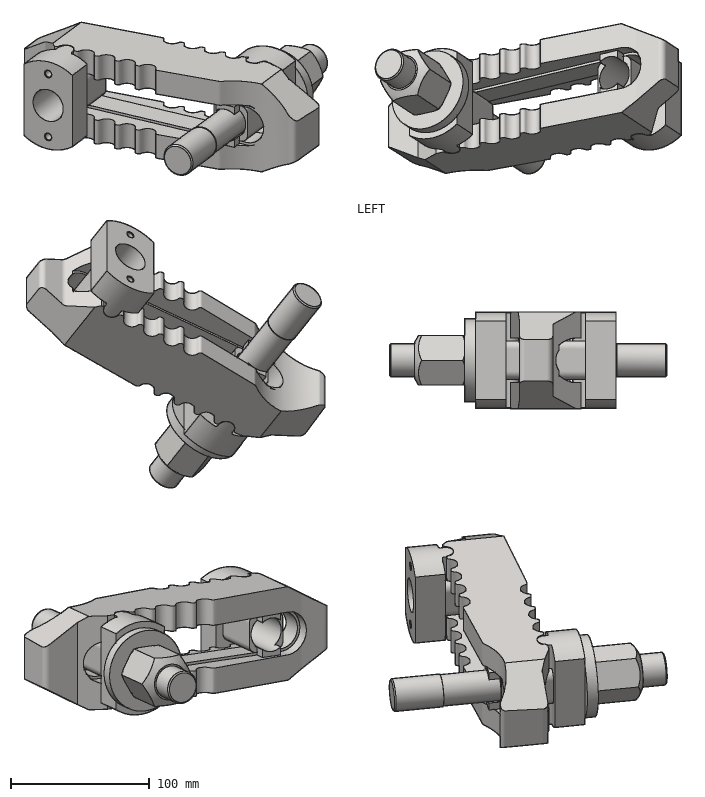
import cadquery as cq
import math


ARM_LEFT = -175.0
ARM_LENGTH = 235.0
ARM_RIGHT = ARM_LEFT + ARM_LENGTH
ARM_HEIGHT = 70.0
END_HEIGHT = 30.0
END_ANGLE = 30.0

GROOVE_COUNT = 5
GROOVE_PITCH = 17.0
GROOVE_RADIUS = 6.25
TOOTH_TIP_Y = 25.5
TOOTH_ROUND = 2.2
PAD_SPACING = 128.0

TAIL_TOP_Y = 19.0
TAIL_BOTTOM_Y = -5.0
TAIL_SLOPE_TOP_X = -152.0
TAIL_SLOPE_BOTTOM_X = -156.0
TOP_CREST_X = -78.0
TAIL_TOOTH_X = -137.0
TAIL_ROUND = 4.0

NOSE_CREST_X = 13.0
NOSE_SLOPE_END_X = 33.0
NOSE_TOP_Y = 17.0
NOSE_BOTTOM_Y = -17.5
NOSE_LEAN_ANGLE = 2.6
NOSE_TOP_ROUND = 4.0
NOSE_HEEL_ROUND = 3.0
NOSE_TOP_X = ARM_RIGHT - NOSE_TOP_ROUND * (
    1 - 1 / math.tan(math.radians((90 - NOSE_LEAN_ANGLE) / 2))
)
NOSE_HEEL_X = NOSE_TOP_X - (NOSE_TOP_Y - NOSE_BOTTOM_Y) * math.tan(math.radians(NOSE_LEAN_ANGLE))
ARCH_RADIUS = 45.0
ARCH_APEX_X = 26.5
ARCH_APEX_Y = -9.0
ARCH_START_X = -3.0
ARCH_ROUND = 4.0
BELLY_START_X = -51.6

SLOT_WIDTH = 28.0
SLOT_LEFT_CENTRE = -140.0
SLOT_RIGHT_CENTRE = 13.0
POCKET_WIDTH = 32.0
LEDGE_THICKNESS = 19.0

PAD_WIDTH = 40.0
PAD_DIAMETER = 69.5
PAD_THICKNESS = 22.0
PAD_FACE_Y = 28.7
PAD_OUTER_Y = PAD_FACE_Y + PAD_THICKNESS
PAD_BORE = 25.0
NECK_WIDTH = SLOT_WIDTH
NECK_CORNER_ROUND = 5.75
RIB_BASE_ROUND = 1.5
HOOK_WIDTH = 15.0
HOOK_LENGTH = 8.0
PIN_HOLE_DIAMETER = 5.0
PIN_HOLE_MOUTH = 6.0
PIN_HOLE_DEPTH = 12.0
PIN_HOLE_OFFSET = 25.0
DRILL_POINT_ANGLE = 118.0

WASHER_DIAMETER = 60.0
WASHER_THICKNESS = 8.0
WASHER_TOP_Y = PAD_OUTER_Y + WASHER_THICKNESS
NUT_ACROSS_FLATS = 36.0
NUT_HEIGHT = 36.0
NUT_TOP_RADIUS = 13.25
NUT_DOME_RADIUS = 31.0
NUT_SEAT_RADIUS = 19.0
NUT_SEAT_ANGLE = 35.0
STUD_DIAMETER = 24.0
STUD_LENGTH = 200.0
STUD_PROTRUSION = 18.0
STUD_SHANK_DIAMETER = 23.0
STUD_LOWER_THREAD = 36.0
STUD_CHAMFER = 1.0
STUD_TOP_Y = WASHER_TOP_Y + NUT_HEIGHT + STUD_PROTRUSION
STUD_BOTTOM_Y = STUD_TOP_Y - STUD_LENGTH


def plane_at(y):
    """Workplane normal to Y whose extrusions go towards +Y (local x is -X, local y is Z)."""
    return cq.Workplane(cq.Plane(origin=(0, y, 0), xDir=(-1, 0, 0), normal=(0, 1, 0)))


def cylinder(diameter, y_start, y_end):
    return plane_at(y_start).circle(diameter / 2).extrude(y_end - y_start)


def turned(points):
    """Solid of revolution about the Y axis from (radius, y) points."""
    return cq.Workplane("XY").polyline(points).close().revolve(360, (0, 0), (0, 1))


def arch_y(x):
    """Height of the arched underside of the nose."""
    return ARCH_APEX_Y - ARCH_RADIUS + math.sqrt(ARCH_RADIUS**2 - (x - ARCH_APEX_X)**2)


def arm_outline():
    """Outline in the XY plane, running clockwise from the lower corner of the tail."""
    arch_drop = ARCH_RADIUS + NOSE_BOTTOM_Y - ARCH_APEX_Y
    arch_end_x = ARCH_APEX_X + math.sqrt(ARCH_RADIUS**2 - arch_drop**2)
    groove_bottom = TOOTH_TIP_Y - GROOVE_RADIUS
    outline = (
        cq.Workplane("XY")
        .moveTo(ARM_LEFT, TAIL_BOTTOM_Y)
        .lineTo(ARM_LEFT, TAIL_TOP_Y)
        .lineTo(TAIL_SLOPE_TOP_X, TAIL_TOP_Y)
        .lineTo(TOP_CREST_X, TOOTH_TIP_Y)
    )
    for i in reversed(range(GROOVE_COUNT)):
        x = -i * GROOVE_PITCH
        outline = (
            outline.lineTo(x - GROOVE_RADIUS, TOOTH_TIP_Y)
            .threePointArc((x, groove_bottom), (x + GROOVE_RADIUS, TOOTH_TIP_Y))
        )
    outline = (
        outline.lineTo(NOSE_CREST_X, TOOTH_TIP_Y)
        .lineTo(NOSE_SLOPE_END_X, NOSE_TOP_Y)
        .lineTo(NOSE_TOP_X, NOSE_TOP_Y)
        .lineTo(NOSE_HEEL_X, NOSE_BOTTOM_Y)
        .lineTo(arch_end_x, NOSE_BOTTOM_Y)
        .threePointArc((ARCH_APEX_X, ARCH_APEX_Y), (ARCH_START_X, arch_y(ARCH_START_X)))
        .lineTo(BELLY_START_X, -TOOTH_TIP_Y)
    )
    for i in reversed(range(GROOVE_COUNT)):
        x = i * GROOVE_PITCH - PAD_SPACING
        outline = (
            outline.lineTo(x + GROOVE_RADIUS, -TOOTH_TIP_Y)
            .threePointArc((x, -groove_bottom), (x - GROOVE_RADIUS, -TOOTH_TIP_Y))
        )
    outline = (
        outline.lineTo(TAIL_TOOTH_X, -TOOTH_TIP_Y)
        .lineTo(TAIL_SLOPE_BOTTOM_X, TAIL_BOTTOM_Y)
        .close()
    )
    return outline, arch_end_x


def round_edges(solid, points, radius):
    """Fillet the Z-direction edges that pass through the given (x, y) points."""
    edges = []
    for edge in solid.edges("|Z").vals():
        centre = edge.Center()
        if any(math.hypot(centre.x - x, centre.y - y) < 0.01 for x, y in points):
            edges.append(edge)
    return solid.newObject(edges).fillet(radius)


def round_slot(y_start, y_end, width):
    span = SLOT_RIGHT_CENTRE - SLOT_LEFT_CENTRE
    middle = (SLOT_RIGHT_CENTRE + SLOT_LEFT_CENTRE) / 2
    return plane_at(y_start).center(-middle, 0).slot2D(span + width, width).extrude(y_end - y_start)


def make_arm():
    outline, arch_end_x = arm_outline()
    arm = outline.extrude(ARM_HEIGHT / 2, both=True)

    tooth_corners = []
    for i in range(GROOVE_COUNT):
        for side in (-GROOVE_RADIUS, GROOVE_RADIUS):
            x = -i * GROOVE_PITCH + side
            tooth_corners += [(x, TOOTH_TIP_Y), (-PAD_SPACING - x, -TOOTH_TIP_Y)]
    arm = round_edges(arm, tooth_corners, TOOTH_ROUND)
    tail_corners = [
        (ARM_LEFT, TAIL_TOP_Y),
        (ARM_LEFT, TAIL_BOTTOM_Y),
        (TAIL_SLOPE_BOTTOM_X, TAIL_BOTTOM_Y),
    ]
    arm = round_edges(arm, tail_corners, TAIL_ROUND)
    arm = round_edges(arm, [(NOSE_TOP_X, NOSE_TOP_Y)], NOSE_TOP_ROUND)
    heel_corners = [(NOSE_HEEL_X, NOSE_BOTTOM_Y), (arch_end_x, NOSE_BOTTOM_Y)]
    arm = round_edges(arm, heel_corners, NOSE_HEEL_ROUND)
    arm = round_edges(arm, [(ARCH_START_X, arch_y(ARCH_START_X))], ARCH_ROUND)

    taper = (ARM_HEIGHT - END_HEIGHT) / 2 / math.tan(math.radians(END_ANGLE))
    half, end_half = ARM_HEIGHT / 2, END_HEIGHT / 2
    octagon = [
        (-ARM_LEFT, end_half),
        (-ARM_LEFT - taper, half),
        (-ARM_RIGHT + taper, half),
        (-ARM_RIGHT, end_half),
        (-ARM_RIGHT, -end_half),
        (-ARM_RIGHT + taper, -half),
        (-ARM_LEFT - taper, -half),
        (-ARM_LEFT, -end_half),
    ]
    depth = 2 * TOOTH_TIP_Y
    arm = arm.intersect(plane_at(-TOOTH_TIP_Y).polyline(octagon).close().extrude(depth))

    arm = arm.cut(round_slot(-TOOTH_TIP_Y, TOOTH_TIP_Y, SLOT_WIDTH))
    ledge_y = LEDGE_THICKNESS / 2
    arm = arm.cut(round_slot(-TOOTH_TIP_Y, -ledge_y, POCKET_WIDTH))
    return arm.cut(round_slot(ledge_y, TOOTH_TIP_Y, POCKET_WIDTH))


def make_pad():
    """Pad on the +Y side of the arm: head, rib for the groove, neck and two hooks."""
    neck_end_y = -LEDGE_THICKNESS / 2
    hook_end_y = neck_end_y - HOOK_LENGTH

    head = plane_at(PAD_FACE_Y).rect(PAD_WIDTH, PAD_DIAMETER).extrude(PAD_THICKNESS)
    rib = (
        cq.Workplane("XY")
        .moveTo(-GROOVE_RADIUS, PAD_FACE_Y)
        .lineTo(-GROOVE_RADIUS, TOOTH_TIP_Y)
        .threePointArc((0, TOOTH_TIP_Y - GROOVE_RADIUS), (GROOVE_RADIUS, TOOTH_TIP_Y))
        .lineTo(GROOVE_RADIUS, PAD_FACE_Y)
        .close()
        .extrude(PAD_DIAMETER / 2, both=True)
    )
    rib_base = [(-GROOVE_RADIUS, PAD_FACE_Y), (GROOVE_RADIUS, PAD_FACE_Y)]
    pad = round_edges(head.union(rib), rib_base, RIB_BASE_ROUND)
    pad = pad.intersect(cylinder(PAD_DIAMETER, 0, PAD_OUTER_Y))

    neck_length = PAD_FACE_Y - neck_end_y
    neck = plane_at(neck_end_y).rect(NECK_WIDTH, NECK_WIDTH).extrude(neck_length)
    neck = neck.edges("|Y").fillet(NECK_CORNER_ROUND)
    hooks = plane_at(hook_end_y).rect(HOOK_WIDTH, POCKET_WIDTH).extrude(HOOK_LENGTH)
    pad = pad.union(neck).union(hooks)
    pad = pad.cut(cylinder(PAD_BORE, hook_end_y, PAD_OUTER_Y))

    radius = PIN_HOLE_DIAMETER / 2
    mouth_radius = PIN_HOLE_MOUTH / 2
    bottom_y = PAD_OUTER_Y - PIN_HOLE_DEPTH
    point_length = radius / math.tan(math.radians(DRILL_POINT_ANGLE / 2))
    pin_hole = turned([
        (0, PAD_OUTER_Y),
        (mouth_radius, PAD_OUTER_Y),
        (radius, PAD_OUTER_Y - (mouth_radius - radius)),
        (radius, bottom_y),
        (0, bottom_y - point_length),
    ])
    for z in (-PIN_HOLE_OFFSET, PIN_HOLE_OFFSET):
        pad = pad.cut(pin_hole.translate((0, 0, z)))
    return pad


def make_washer():
    return cylinder(WASHER_DIAMETER, PAD_OUTER_Y, WASHER_TOP_Y).cut(
        cylinder(PAD_BORE, PAD_OUTER_Y, WASHER_TOP_Y)
    )


def make_nut():
    """Hexagon nut with a domed top and a chamfered seat."""
    top_y = WASHER_TOP_Y + NUT_HEIGHT
    corner_radius = NUT_ACROSS_FLATS / math.sqrt(3)
    seat_chamfer = (corner_radius - NUT_SEAT_RADIUS) * math.tan(math.radians(NUT_SEAT_ANGLE))
    dome_centre_y = top_y - math.sqrt(NUT_DOME_RADIUS**2 - NUT_TOP_RADIUS**2)

    def dome_point(radius):
        return radius, dome_centre_y + math.sqrt(NUT_DOME_RADIUS**2 - radius**2)

    hexagon = plane_at(WASHER_TOP_Y).polygon(6, 2 * corner_radius).extrude(NUT_HEIGHT)
    envelope = (
        cq.Workplane("XY")
        .moveTo(0, WASHER_TOP_Y)
        .lineTo(NUT_SEAT_RADIUS, WASHER_TOP_Y)
        .lineTo(corner_radius, WASHER_TOP_Y + seat_chamfer)
        .lineTo(*dome_point(corner_radius))
        .threePointArc(dome_point((corner_radius + NUT_TOP_RADIUS) / 2), (NUT_TOP_RADIUS, top_y))
        .lineTo(0, top_y)
        .close()
        .revolve(360, (0, 0), (0, 1))
    )
    return hexagon.intersect(envelope).cut(cylinder(STUD_DIAMETER, WASHER_TOP_Y, top_y))


def make_stud():
    """Stud with a thread at each end and a thinner shank up to the pad's outer face."""
    radius = STUD_DIAMETER / 2
    shank_radius = STUD_SHANK_DIAMETER / 2
    shank_start_y = STUD_BOTTOM_Y + STUD_LOWER_THREAD
    return turned([
        (0, STUD_BOTTOM_Y),
        (radius - STUD_CHAMFER, STUD_BOTTOM_Y),
        (radius, STUD_BOTTOM_Y + STUD_CHAMFER),
        (radius, shank_start_y),
        (shank_radius, shank_start_y),
        (shank_radius, PAD_OUTER_Y),
        (radius, PAD_OUTER_Y),
        (radius, STUD_TOP_Y - STUD_CHAMFER),
        (radius - STUD_CHAMFER, STUD_TOP_Y),
        (0, STUD_TOP_Y),
    ])


arm = make_arm()
washer = make_washer()
nut = make_nut()
stud = make_stud()

pads = []
for turn in (0, 180):
    pivot_x = -PAD_SPACING / 2
    pads.append(make_pad().rotate((pivot_x, 0, 0), (pivot_x, 0, 1), turn))

result = cq.Compound.makeCompound(
    [arm.val(), *[pad.val() for pad in pads], washer.val(), nut.val(), stud.val()]
)